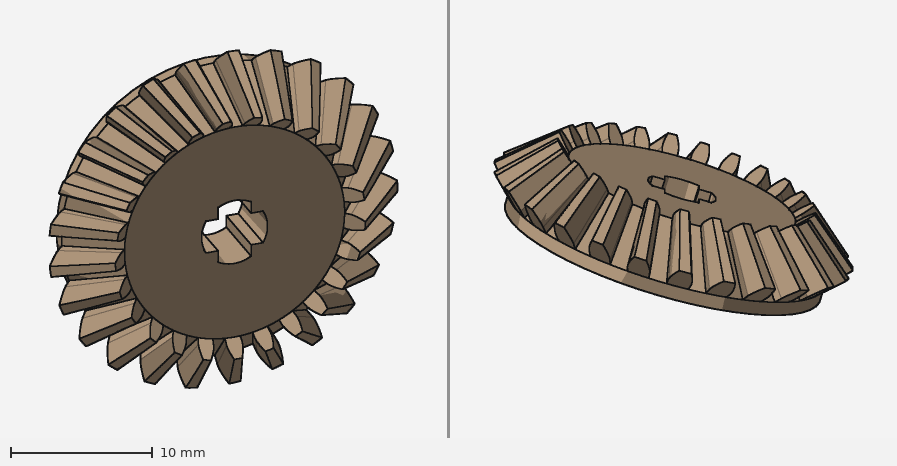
import cadquery as cq
import math


tooth_count = 25
outer_diameter = 26.43
pitch_cone_angle = math.radians(45)
pressure_angle = math.radians(14.5)
tooth_thickness = 1.53
face_width = 5.0
tooth_twist = -5
disc_thickness = 1.0
bore_diameter = 5.0
cross_arm_width = 2.5

pitch_radius = outer_diameter / 2 / (1 + 2 * math.cos(pitch_cone_angle) / tooth_count)
module = 2 * pitch_radius / tooth_count
addendum = module
dedendum = 1.25 * module

virtual_pitch_radius = pitch_radius / math.cos(pitch_cone_angle)
virtual_base_radius = virtual_pitch_radius * math.cos(pressure_angle)
virtual_tip_radius = virtual_pitch_radius + addendum
virtual_root_radius = virtual_pitch_radius - dedendum

cone_distance = pitch_radius / math.sin(pitch_cone_angle)
pitch_x = disc_thickness + dedendum * math.sin(pitch_cone_angle)
apex_x = pitch_x + pitch_radius / math.tan(pitch_cone_angle)
back_apex_x = pitch_x - pitch_radius * math.tan(pitch_cone_angle)
small_end_scale = 1 - face_width / cone_distance

end_overrun = 0.05
tip_overrun = 0.05 * module
root_overrun = 0.5 * module
flank_steps = 6


def back_cone_point(virtual_radius, scale=1.0):
    """(x, radius) of a point on the back cone, shrunk towards the pitch apex by scale."""
    x = back_apex_x + virtual_radius * math.sin(pitch_cone_angle)
    radius = virtual_radius * math.cos(pitch_cone_angle)
    return (apex_x - scale * (apex_x - x), scale * radius)


def revolve_about_axis(profile):
    return cq.Workplane("XY").polyline(profile).close().revolve(360, (0, 0, 0), (1, 0, 0))


root_back = back_cone_point(virtual_root_radius)
root_front = back_cone_point(virtual_root_radius, small_end_scale)
tip_back = back_cone_point(virtual_tip_radius)
tip_front = back_cone_point(virtual_tip_radius, small_end_scale)
back_rim = (0, root_back[1])
disc_front_centre = (root_back[0], 0)
front_centre = (root_front[0], 0)


def involute(angle):
    return math.tan(angle) - angle


def flank_point(virtual_radius):
    """Point of the +Y involute flank, in the plane of the tooth section."""
    roll = math.acos(virtual_base_radius / virtual_radius)
    pitch_half_angle = tooth_thickness / 2 / virtual_pitch_radius
    half_angle = pitch_half_angle + involute(pressure_angle) - involute(roll)
    return (virtual_radius * math.cos(half_angle), virtual_radius * math.sin(half_angle))


def tooth_section(scale):
    """Twisted tooth outline tangent to the back cone: involute flanks, radial below the base circle."""
    flank_height = virtual_tip_radius + tip_overrun - virtual_base_radius
    flank_radii = [virtual_base_radius + flank_height * i / flank_steps for i in range(flank_steps + 1)]
    flank = [flank_point(radius) for radius in flank_radii]
    root_ratio = (virtual_root_radius - root_overrun) / virtual_base_radius
    base_u, base_v = flank[0]
    root_end = (base_u * root_ratio, base_v * root_ratio)
    upper = [(scale * u, scale * v) for u, v in [root_end] + flank]
    lower = [(u, -v) for u, v in upper]
    section_plane = cq.Plane(
        origin=(apex_x - scale * (apex_x - back_apex_x), 0, 0),
        xDir=(math.sin(pitch_cone_angle), math.cos(pitch_cone_angle), 0),
        normal=(math.cos(pitch_cone_angle), -math.sin(pitch_cone_angle), 0),
    )
    outline = (
        cq.Workplane(section_plane)
        .moveTo(*upper[0])
        .lineTo(*upper[1])
        .spline(upper[2:], includeCurrent=True)
        .lineTo(*lower[-1])
        .spline(lower[-2:0:-1], includeCurrent=True)
        .lineTo(*lower[0])
        .close()
    )
    twist = tooth_twist * (1 - scale) / (1 - small_end_scale)
    return outline.wire().val().rotate(cq.Vector(0, 0, 0), cq.Vector(1, 0, 0), twist)


def make_tooth():
    sections = [tooth_section(1 + end_overrun), tooth_section(small_end_scale - end_overrun)]
    tooth = cq.Workplane(cq.Solid.makeLoft(sections, True))
    blank = revolve_about_axis([disc_front_centre, root_back, tip_back, tip_front, root_front, front_centre])
    return tooth.intersect(blank)


def make_cross_bore():
    """Round bore limited to a plus-shaped opening."""
    length = root_front[0]
    bore = cq.Workplane("YZ").circle(bore_diameter / 2).extrude(length)
    arms = (
        cq.Workplane("YZ").rect(bore_diameter, cross_arm_width).extrude(length)
        .union(cq.Workplane("YZ").rect(cross_arm_width, bore_diameter).extrude(length))
    )
    return bore.intersect(arms)


gear = revolve_about_axis([(0, 0), back_rim, root_back, root_front, front_centre])
tooth = make_tooth()
for index in range(tooth_count):
    gear = gear.union(tooth.rotate((0, 0, 0), (1, 0, 0), index * 360 / tooth_count))

result = gear.cut(make_cross_bore())